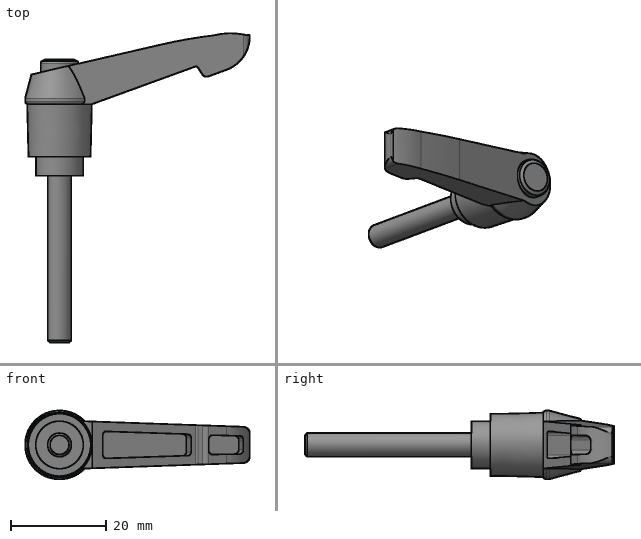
import math

import cadquery as cq


stud_radius = 2.5
stud_length = 35.0
stud_chamfer = 0.5
collar_radius = 5.0
collar_height = 4.0
button_radius = 4.0
button_top = 24.5
button_rounding_start = 23.65
button_bevel_start = (3.8, 24.1)
button_bevel_end_radius = 3.0

skirt_bottom_radius = 6.55
skirt_top_radius = 6.82
rim_radius = 7.25
rim_bottom = 15.1
rim_rounding_top = 15.75
rim_top = 16.35
cone_angle = math.radians(15)
cone_top = 26.0

tip_x = 40.0
lever_top = 30.0
top_angle = math.radians(13)
top_height_on_axis = 22.7
top_straight_end_x = 21.5
top_bow_end = (32.5, 29.58)
top_crest_x = 36.2
top_end = (39.5, 29.55)
tip_nose_radius = 7.6
underside_angle = math.radians(20)
underside_start_x = 6.9
notch_top_x = 28.87
notch_top_rounding = 0.5
notch_bottom = (30.45, 20.6)
notch_bottom_rounding = 1.1

half_width_on_axis = 5.18
side_taper = math.radians(2)
tip_edge_rounding = 1.5

pocket_angle = top_angle
main_pocket_ends_x = (9.1, 27.65)
main_pocket_half_widths = (2.88, 2.25)
main_pocket_depth = 4.5
main_pocket_corner_radius = 0.8
tip_pocket_start_x = 31.3
tip_pocket_end = (38.7, 24.8)
tip_pocket_half_widths = (2.06, 1.9)
tip_pocket_depth = 4.5
tip_pocket_corner_radius = 1.0


def top_y(x):
    """Height of the lever's straight top line."""
    return top_height_on_axis + x * math.tan(top_angle)


def underside_y(x):
    """Height of the lever's straight underside."""
    return rim_bottom + (x - underside_start_x) * math.tan(underside_angle)


def tip_underside_y(x):
    """Height of the straight underside between the notch and the tip."""
    return notch_bottom[1] + (x - notch_bottom[0]) * math.tan(underside_angle)


def half_width(x):
    """Half the lever's width across Z."""
    return half_width_on_axis - x * math.tan(side_taper)


def middle_of_tangent_arc(start, start_angle, end):
    """Middle point of the arc that leaves start at the given angle and ends at end."""
    chord = math.hypot(end[0] - start[0], end[1] - start[1])
    chord_angle = math.atan2(end[1] - start[1], end[0] - start[0])
    half_angle = (start_angle + chord_angle) / 2
    reach = chord / 2 / math.cos(half_angle - chord_angle)
    return (start[0] + reach * math.cos(half_angle), start[1] + reach * math.sin(half_angle))


def revolved(profile):
    """Turn a closed (radius, y) profile about the screw axis."""
    return profile.close().revolve(360, (0, 0, 0), (0, 1, 0))


def make_hub():
    cone_top_radius = rim_radius - (cone_top - rim_top) * math.tan(cone_angle)
    profile = (
        cq.Workplane("XY")
        .moveTo(0, cone_top)
        .lineTo(cone_top_radius, cone_top)
        .lineTo(rim_radius, rim_top)
        .lineTo(rim_radius, rim_rounding_top)
        .tangentArcPoint((skirt_top_radius, rim_bottom), relative=False)
        .lineTo(skirt_bottom_radius, collar_height)
        .lineTo(0, collar_height)
    )
    waste = (
        cq.Workplane("XY")
        .polyline([
            (-tip_x, top_y(-tip_x)),
            (tip_x, top_y(tip_x)),
            (tip_x, 2 * tip_x),
            (-tip_x, 2 * tip_x),
        ])
        .close()
        .extrude(rim_radius * 2, both=True)
    )
    return revolved(profile).cut(waste)


def make_shank():
    stud = (
        cq.Workplane("XZ")
        .circle(stud_radius)
        .extrude(stud_length)
        .faces("<Y")
        .chamfer(stud_chamfer)
    )
    collar = cq.Workplane("XZ").circle(collar_radius).extrude(-collar_height)
    return stud.union(collar)


def make_button():
    """Screw head above the lever: rounded at its edge, then bevelled up to a flat top."""
    profile = (
        cq.Workplane("XY")
        .moveTo(0, collar_height)
        .lineTo(button_radius, collar_height)
        .lineTo(button_radius, button_rounding_start)
        .tangentArcPoint(button_bevel_start, relative=False)
        .lineTo(button_bevel_end_radius, button_top)
        .lineTo(0, button_top)
    )
    return revolved(profile)


def round_corner(body, corner, radius):
    """Fillet the Z-parallel edge that runs through the given (x, y) corner."""
    edge = cq.selectors.NearestToPointSelector((corner[0], corner[1], 0))
    return body.edges("|Z").edges(edge).fillet(radius)


def make_lever():
    notch_top = (notch_top_x, underside_y(notch_top_x))
    nose_start_x = tip_x - tip_nose_radius * (1 - math.sin(underside_angle))
    nose_start_y = tip_underside_y(nose_start_x)
    nose_end_y = nose_start_y + tip_nose_radius * math.cos(underside_angle)
    top_straight_end = (top_straight_end_x, top_y(top_straight_end_x))
    bow_middle = middle_of_tangent_arc(top_straight_end, top_angle, top_bow_end)
    body = (
        cq.Workplane("XY", origin=(0, 0, -rim_radius))
        .moveTo(0, rim_bottom)
        .lineTo(underside_start_x, rim_bottom)
        .lineTo(*notch_top)
        .lineTo(*notch_bottom)
        .lineTo(nose_start_x, nose_start_y)
        .tangentArcPoint((tip_x, nose_end_y), relative=False)
        .tangentArcPoint(top_end, relative=False)
        .threePointArc((top_crest_x, lever_top), top_bow_end)
        .threePointArc(bow_middle, top_straight_end)
        .lineTo(0, top_y(0))
        .close()
        .extrude(2 * rim_radius)
    )
    body = round_corner(body, notch_top, notch_top_rounding)
    body = round_corner(body, notch_bottom, notch_bottom_rounding)
    plan = (
        cq.Workplane("XZ")
        .polyline([
            (0, -half_width(0)),
            (tip_x, -half_width(tip_x)),
            (tip_x, half_width(tip_x)),
            (0, half_width(0)),
        ])
        .close()
        .extrude(-2 * lever_top)
        .edges("|Y and >X")
        .fillet(tip_edge_rounding)
    )
    return body.intersect(plan)


def make_pocket(start, end, half_widths, depth, corner_radius):
    """Tapered pocket cutter between two (x, y) points of its mouth; depth is taken at the end point."""
    along = (math.cos(pocket_angle), math.sin(pocket_angle))
    inward = (-along[1], along[0])
    length = (end[0] - start[0]) * along[0] + (end[1] - start[1]) * along[1]
    start_half, end_half = half_widths
    floor_end = (end[0] + depth * inward[0], end[1] + depth * inward[1])
    floor = cq.Plane(origin=(*floor_end, 0), xDir=(*along, 0), normal=(*inward, 0))
    return (
        cq.Workplane(floor)
        .polyline([
            (-length, -start_half),
            (0, -end_half),
            (0, end_half),
            (-length, start_half),
        ])
        .close()
        .extrude(-lever_top)
        .edges(cq.selectors.ParallelDirSelector(cq.Vector(*inward, 0)))
        .fillet(corner_radius)
    )


def make_pockets():
    main_start, main_end = [(x, underside_y(x)) for x in main_pocket_ends_x]
    tip_start = (tip_pocket_start_x, tip_underside_y(tip_pocket_start_x))
    return [
        make_pocket(
            main_start, main_end, main_pocket_half_widths, main_pocket_depth, main_pocket_corner_radius
        ),
        make_pocket(
            tip_start, tip_pocket_end, tip_pocket_half_widths, tip_pocket_depth, tip_pocket_corner_radius
        ),
    ]


lever = make_lever()
for pocket in make_pockets():
    lever = lever.cut(pocket)
result = make_hub().union(lever).union(make_shank()).union(make_button())